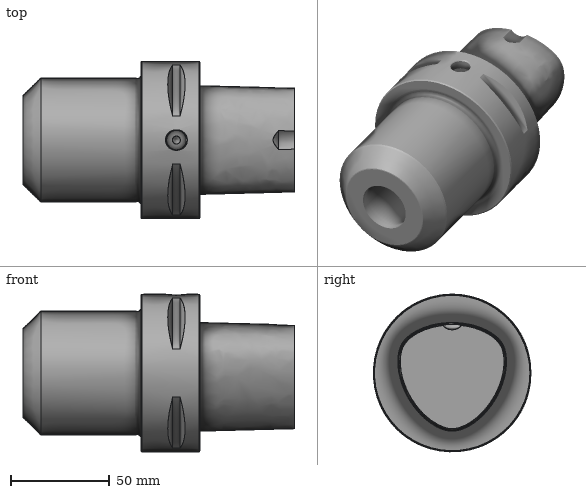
import cadquery as cq
import math

LENGTH = 138.0

NOSE_FACE_RADIUS = 22.2
NOSE_CONE_START = 0.1
NOSE_CONE_START_RADIUS = 22.6
NOSE_CONE_END = 8.5
NOSE_CONE_END_RADIUS = 30.9
NOSE_BEVEL_END = 9.2
NOSE_RADIUS = 31.5
BORE_DIAMETER = 25.0
BORE_DEPTH = 55.2

NECK_START = 57.1
NECK_TAPER = 0.8
NECK_RADIUS = 31.3
NECK_FILLET = 1.8
RELIEF_DEPTH = 0.1
RELIEF_RADIUS = 34.4

FLANGE_START = 59.9
FLANGE_END = 90.0
FLANGE_RADIUS = 40.0
FLANGE_CHAMFER = 0.5
FEATURE_X = 78.0

SLOT_COUNT = 4
SLOT_FLOOR_RADIUS = 35.6
SLOT_FLOOR_WIDTH = 3.7
SLOT_WALL_ANGLE = 30.0

POCKET_DIAMETER = 10.0
POCKET_DEPTH = 5.0
POCKET_CHAMFER = 0.3
MARK_DIAMETER = 4.0
MARK_DEPTH = 1.2

SHANK_START_RADIUS = 27.6
SHANK_END_RADIUS = 26.4
LOBE_HEIGHT = 2.0
OUTLINE_POINTS = 48

NOTCH_RADIUS = 6.0
NOTCH_DEPTH = 2.5
NOTCH_START = 129.9


def turned_body():
    """Nose, neck and flange revolved about X."""
    fillet_end = FLANGE_START + RELIEF_DEPTH
    fillet_start = fillet_end - NECK_FILLET
    arc_step = NECK_FILLET * math.sqrt(0.5)
    profile = (
        cq.Workplane("XY")
        .lineTo(0, NOSE_FACE_RADIUS)
        .lineTo(NOSE_CONE_START, NOSE_CONE_START_RADIUS)
        .lineTo(NOSE_CONE_END, NOSE_CONE_END_RADIUS)
        .lineTo(NOSE_BEVEL_END, NOSE_RADIUS)
        .lineTo(NECK_START, NOSE_RADIUS)
        .lineTo(NECK_START + NECK_TAPER, NECK_RADIUS)
        .lineTo(fillet_start, NECK_RADIUS)
        .threePointArc(
            (fillet_start + arc_step, NECK_RADIUS + NECK_FILLET - arc_step),
            (fillet_end, NECK_RADIUS + NECK_FILLET),
        )
        .lineTo(FLANGE_START, RELIEF_RADIUS)
        .lineTo(FLANGE_START, FLANGE_RADIUS - FLANGE_CHAMFER)
        .lineTo(FLANGE_START + FLANGE_CHAMFER, FLANGE_RADIUS)
        .lineTo(FLANGE_END - FLANGE_CHAMFER, FLANGE_RADIUS)
        .lineTo(FLANGE_END, FLANGE_RADIUS - FLANGE_CHAMFER)
        .lineTo(FLANGE_END, 0)
        .close()
    )
    return profile.revolve(360, (0, 0, 0), (1, 0, 0))


def trilobe_point(radius, angle):
    """Point (Y, Z) of a trilobe of the given mean radius; a lobe lies at angle 0, toward -Z."""
    across = radius * math.sin(angle)
    across -= LOBE_HEIGHT * (2 * math.sin(2 * angle) + math.sin(4 * angle))
    along = radius * math.cos(angle)
    along += LOBE_HEIGHT * (2 * math.cos(2 * angle) - math.cos(4 * angle))
    return across, -along


def trilobe_wire(x, radius):
    points = []
    for index in range(OUTLINE_POINTS):
        y, z = trilobe_point(radius, 2 * math.pi * index / OUTLINE_POINTS)
        points.append(cq.Vector(x, y, z))
    return cq.Wire.assembleEdges([cq.Edge.makeSpline(points, periodic=True)])


def shank():
    start = trilobe_wire(FLANGE_END, SHANK_START_RADIUS)
    end = trilobe_wire(LENGTH, SHANK_END_RADIUS)
    return cq.Workplane(cq.Solid.makeLoft([start, end], True))


def bore():
    return cq.Workplane("YZ").circle(BORE_DIAMETER / 2).extrude(BORE_DEPTH)


def gripper_slot(angle):
    """V groove across the +Z side, turned about X by the given angle."""
    half_floor = SLOT_FLOOR_WIDTH / 2
    height = FLANGE_RADIUS - SLOT_FLOOR_RADIUS
    half_top = half_floor + height * math.tan(math.radians(SLOT_WALL_ANGLE))
    return (
        cq.Workplane("XZ")
        .polyline([
            (FEATURE_X - half_floor, SLOT_FLOOR_RADIUS),
            (FEATURE_X + half_floor, SLOT_FLOOR_RADIUS),
            (FEATURE_X + half_top, FLANGE_RADIUS),
            (FEATURE_X - half_top, FLANGE_RADIUS),
        ])
        .close()
        .extrude(FLANGE_RADIUS, both=True)
        .rotate((0, 0, 0), (1, 0, 0), angle)
    )


def radial_pocket():
    """Chamfered blind hole on the +Z side, revolved about its own axis."""
    radius = POCKET_DIAMETER / 2
    floor = FLANGE_RADIUS - POCKET_DEPTH
    rim = math.sqrt(FLANGE_RADIUS**2 - radius**2) - POCKET_CHAMFER
    flare = FLANGE_RADIUS - rim
    return (
        cq.Workplane("XZ")
        .polyline([
            (0, floor - MARK_DEPTH),
            (MARK_DIAMETER / 2, floor),
            (radius, floor),
            (radius, rim),
            (radius + flare, FLANGE_RADIUS),
            (0, FLANGE_RADIUS),
        ])
        .close()
        .revolve(360, (0, 0, 0), (0, 1, 0))
        .translate((FEATURE_X, 0, 0))
    )


def key_notch():
    """Round-bottomed groove along X, closed by a 45 degree cone."""
    shank_top = trilobe_point(SHANK_END_RADIUS, math.pi)[1]
    axis_z = shank_top - NOTCH_DEPTH + NOTCH_RADIUS
    return (
        cq.Workplane("XY")
        .polyline([
            (NOTCH_START - NOTCH_RADIUS, 0),
            (NOTCH_START, NOTCH_RADIUS),
            (LENGTH, NOTCH_RADIUS),
            (LENGTH, 0),
        ])
        .close()
        .revolve(360, (0, 0, 0), (1, 0, 0))
        .translate((0, 0, axis_z))
    )


result = turned_body().union(shank()).cut(bore())
for slot in range(SLOT_COUNT):
    result = result.cut(gripper_slot((slot + 0.5) * 360 / SLOT_COUNT))
result = result.cut(radial_pocket()).cut(key_notch())